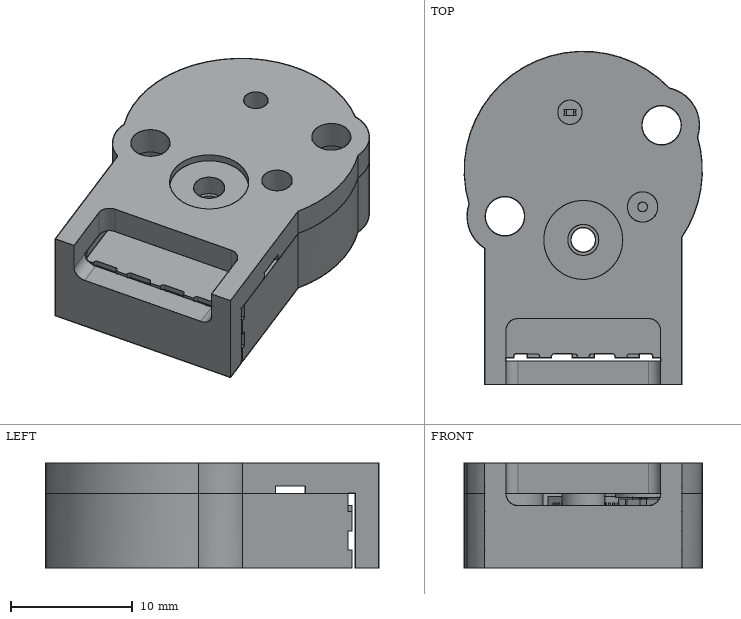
import cadquery as cq

HEIGHT = 8.66
TOTAL_LENGTH = 27.42
TOTAL_WIDTH = 19.6
BODY_RADIUS = TOTAL_WIDTH / 2
BODY_CENTER_Y = TOTAL_LENGTH - BODY_RADIUS
HALF_WIDTH = 8.12
EAR_RADIUS = 3.13
SCREW_HOLE_DIAMETER = 3.2
SCREW_POINTS = [(-6.45, 13.85), (6.45, 21.33)]

WALL = 1.65
INNER_HALF_WIDTH = HALF_WIDTH - WALL
BASE_HEIGHT = 6.15
BASE_FRONT_Y = 2.52
TOOTH_FRONT_Y = 2.2
TOOTH_LEVELS = [(0.0, 1.5), (3.05, 4.65)]
TOOTH_COUNT = 3
TOOTH_GAPS = TOOTH_COUNT + 1
TOOTH_WIDTH = 2 * INNER_HALF_WIDTH / (TOOTH_COUNT + TOOTH_GAPS)

CENTER_POST_Y = 11.9
CENTER_POST_DIAMETER = 3.55
CENTER_BORE_DIAMETER = 2.0

LID_WALL_THICKNESS = 1.95
CENTER_HOLE_DIAMETER = 2.55
CENTER_RECESS_DIAMETER = 6.5
CENTER_RECESS_DEPTH = 0.65
WINDOW_HALF_WIDTH = 6.35
WINDOW_BACK_Y = 5.43
WINDOW_CORNER_RADIUS = 1.0
GROOVE_FRONT_Y = 6.05
GROOVE_BACK_Y = 8.5
GROOVE_HEIGHT = 0.6
LIGHT_HOLE_DIAMETER = 2.0
BUTTON_HOLE_DIAMETER = 2.5
BUTTON_BOSS_DIAMETER = 4.5
BUTTON_BOSS_DROP = 0.33

BOARD_THICKNESS = 0.5
BOARD_BOTTOM = TOOTH_LEVELS[-1][1]
BOARD_TOP = BOARD_BOTTOM + BOARD_THICKNESS
NOTCH_COUNT = 4
NOTCH_PITCH = 3.1
NOTCH_WIDTH = 2.15
NOTCH_RADIUS = 0.25

CHIP_POINT = (0.58, 17.82)
CHIP_SIDE = 4.94
CHIP_HEIGHT = 0.75
CHIP_ANGLE = 45
CONTACTS_PER_SIDE = 8
CONTACT_PITCH = 0.5
CONTACT_WIDTH = 0.25
CONTACT_HEIGHT = 0.22
CONTACT_REACH = 0.03

BUTTON_POINT = (4.88, 14.61)
BUTTON_ANGLE = -30
SWITCH_WIDTH = 2.63
SWITCH_DEPTH = 3.3
SWITCH_HEIGHT = 0.52
SWITCH_RECESS_LENGTH = 1.37
SWITCH_RECESS_DEPTH = 0.3
PLUNGER_DIAMETER = 0.8
PLUNGER_HEIGHT = 0.08

LIGHT_POINT = (-1.1, 22.4)
LIGHT_LENGTH = 1.0
LIGHT_WIDTH = 0.5
LIGHT_CARRIER_HEIGHT = 0.2
LIGHT_LENS_LENGTH = 0.6
LIGHT_LENS_HEIGHT = 0.2
LIGHT_NOTCH_DIAMETER = 0.2


def block(x_min, x_max, y_min, y_max, z_min, z_max):
    """Box between the given limits."""
    size = (x_max - x_min, y_max - y_min, z_max - z_min)
    return cq.Workplane("XY").box(*size, centered=False).translate((x_min, y_min, z_min))


def cylinder(point, diameter, z_min, z_max):
    """Upright cylinder around a point of the XY plane."""
    plane = cq.Workplane("XY").workplane(offset=z_min)
    return plane.center(*point).circle(diameter / 2).extrude(z_max - z_min)


def ears(z_min, z_max):
    """Round columns around the screw holes."""
    columns = [cylinder(point, 2 * EAR_RADIUS, z_min, z_max) for point in SCREW_POINTS]
    return columns[0].union(columns[1])


def outline(front_y, z_min, z_max):
    """Outer shape: round back, straight front and two ears."""
    body = cylinder((0, BODY_CENTER_Y), 2 * BODY_RADIUS, z_min, z_max)
    body = body.union(block(-HALF_WIDTH, HALF_WIDTH, front_y, BODY_CENTER_Y, z_min, z_max))
    return body.union(ears(z_min, z_max))


def interior(front_y, z_min, z_max):
    """Space inside the base walls, around the screw columns and the central post."""
    space = cylinder((0, BODY_CENTER_Y), 2 * (BODY_RADIUS - WALL), z_min, z_max)
    space = space.union(
        block(-INNER_HALF_WIDTH, INNER_HALF_WIDTH, front_y, BODY_CENTER_Y, z_min, z_max)
    )
    space = space.cut(ears(z_min, z_max))
    return space.cut(cylinder((0, CENTER_POST_Y), CENTER_POST_DIAMETER, z_min, z_max))


def drill_screw_holes(body):
    for point in SCREW_POINTS:
        body = body.cut(cylinder(point, SCREW_HOLE_DIAMETER, 0, HEIGHT))
    return body


def tooth_spans():
    """X limits of the front teeth, including the two ends of the side walls."""
    spans = [(-HALF_WIDTH, -INNER_HALF_WIDTH), (INNER_HALF_WIDTH, HALF_WIDTH)]
    for index in range(TOOTH_COUNT):
        start = -INNER_HALF_WIDTH + (2 * index + 1) * TOOTH_WIDTH
        spans.append((start, start + TOOTH_WIDTH))
    return spans


def make_base():
    base = outline(BASE_FRONT_Y, 0, BASE_HEIGHT)
    base = base.cut(interior(TOOTH_FRONT_Y, BOARD_BOTTOM, BASE_HEIGHT))
    for x_min, x_max in tooth_spans():
        for z_min, z_max in TOOTH_LEVELS:
            base = base.union(block(x_min, x_max, TOOTH_FRONT_Y, BASE_FRONT_Y, z_min, z_max))
    base = base.cut(cylinder((0, CENTER_POST_Y), CENTER_BORE_DIAMETER, 0, BASE_HEIGHT))
    return drill_screw_holes(base)


def lid_window():
    """Opening in the plate that runs forward through the front wall, down to the board."""
    half = WINDOW_HALF_WIDTH
    plate_part = block(-half, half, 0, WINDOW_BACK_Y, BASE_HEIGHT, HEIGHT)
    plate_part = plate_part.edges("|Z and >Y").fillet(WINDOW_CORNER_RADIUS)
    wall_part = block(-half, half, 0, LID_WALL_THICKNESS, BOARD_TOP, HEIGHT)
    wall_part = wall_part.edges("|Y and <Z").fillet(WINDOW_CORNER_RADIUS)
    return plate_part.union(wall_part)


def make_lid():
    lid = outline(0, BASE_HEIGHT, HEIGHT)
    lid = lid.union(block(-HALF_WIDTH, HALF_WIDTH, 0, LID_WALL_THICKNESS, 0, BASE_HEIGHT))
    lid = lid.cut(lid_window())
    groove_top = BASE_HEIGHT + GROOVE_HEIGHT
    groove = block(-HALF_WIDTH, HALF_WIDTH, GROOVE_FRONT_Y, GROOVE_BACK_Y, BASE_HEIGHT, groove_top)
    lid = lid.cut(groove)
    boss_bottom = BASE_HEIGHT - BUTTON_BOSS_DROP
    lid = lid.union(cylinder(BUTTON_POINT, BUTTON_BOSS_DIAMETER, boss_bottom, BASE_HEIGHT))
    lid = lid.cut(cylinder(BUTTON_POINT, BUTTON_HOLE_DIAMETER, boss_bottom, HEIGHT))
    lid = lid.cut(cylinder(LIGHT_POINT, LIGHT_HOLE_DIAMETER, BASE_HEIGHT, HEIGHT))
    center = (0, CENTER_POST_Y)
    lid = lid.cut(cylinder(center, CENTER_HOLE_DIAMETER, BASE_HEIGHT, HEIGHT))
    lid = lid.cut(cylinder(center, CENTER_RECESS_DIAMETER, HEIGHT - CENTER_RECESS_DEPTH, HEIGHT))
    return drill_screw_holes(lid)


def make_board():
    board = interior(TOOTH_FRONT_Y, BOARD_BOTTOM, BOARD_TOP)
    for index in range(NOTCH_COUNT):
        x_min = (index - (NOTCH_COUNT - 1) / 2) * NOTCH_PITCH - NOTCH_WIDTH / 2
        notch = block(
            x_min, x_min + NOTCH_WIDTH, TOOTH_FRONT_Y, BASE_FRONT_Y, BOARD_BOTTOM, BOARD_TOP
        )
        board = board.cut(notch.edges("|Z and >Y").fillet(NOTCH_RADIUS))
    return board


def on_board(part, point, angle=0):
    """Turn a part that is modelled at the origin and set it on the board."""
    return part.rotate((0, 0, 0), (0, 0, 1), angle).translate((*point, BOARD_TOP))


def make_chip():
    half = CHIP_SIDE / 2
    chip = block(-half, half, -half, half, 0, CHIP_HEIGHT)
    for index in range(CONTACTS_PER_SIDE):
        start = (index - (CONTACTS_PER_SIDE - 1) / 2) * CONTACT_PITCH - CONTACT_WIDTH / 2
        end = start + CONTACT_WIDTH
        reach = half + CONTACT_REACH
        chip = chip.union(block(start, end, -reach, reach, 0, CONTACT_HEIGHT))
        chip = chip.union(block(-reach, reach, start, end, 0, CONTACT_HEIGHT))
    return on_board(chip, CHIP_POINT, CHIP_ANGLE)


def make_switch():
    switch = cq.Workplane("XY").box(
        SWITCH_WIDTH, SWITCH_DEPTH, SWITCH_HEIGHT, centered=(True, True, False)
    )
    half_recess = SWITCH_RECESS_LENGTH / 2
    half_depth = SWITCH_DEPTH / 2
    half_waist = half_depth - SWITCH_RECESS_DEPTH
    for y_min, y_max in [(-half_depth, -half_waist), (half_waist, half_depth)]:
        switch = switch.cut(block(-half_recess, half_recess, y_min, y_max, 0, SWITCH_HEIGHT))
    return on_board(switch, BUTTON_POINT, BUTTON_ANGLE)


def make_plunger():
    bottom = BOARD_TOP + SWITCH_HEIGHT
    return cylinder(BUTTON_POINT, PLUNGER_DIAMETER, bottom, bottom + PLUNGER_HEIGHT)


def make_light():
    centered = (True, True, False)
    light = cq.Workplane("XY").box(
        LIGHT_LENGTH, LIGHT_WIDTH, LIGHT_CARRIER_HEIGHT, centered=centered
    )
    for end in (-LIGHT_LENGTH / 2, LIGHT_LENGTH / 2):
        light = light.cut(cylinder((end, 0), LIGHT_NOTCH_DIAMETER, 0, LIGHT_CARRIER_HEIGHT))
    lens = cq.Workplane("XY").box(
        LIGHT_LENS_LENGTH, LIGHT_WIDTH, LIGHT_LENS_HEIGHT, centered=centered
    )
    light = light.union(lens.translate((0, 0, LIGHT_CARRIER_HEIGHT)))
    return on_board(light, LIGHT_POINT)


base = make_base()
lid = make_lid()
board = make_board()
chip = make_chip()
switch = make_switch()
plunger = make_plunger()
light = make_light()

result = cq.Compound.makeCompound(
    [
        base.solids().val(),
        lid.solids().val(),
        board.solids().val(),
        chip.solids().val(),
        switch.solids().val(),
        plunger.solids().val(),
        light.solids().val(),
    ]
)